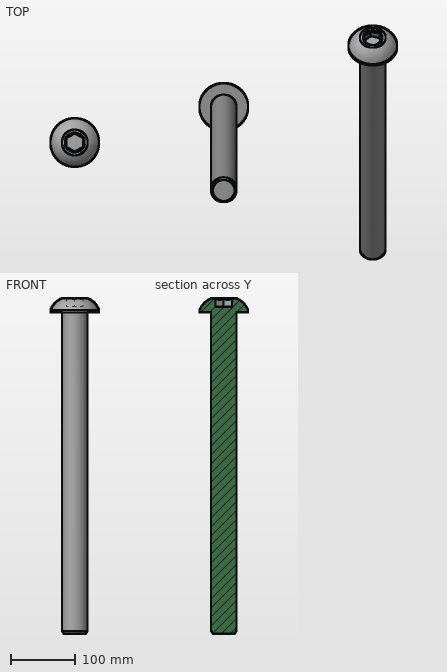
import cadquery as cq
import math

total_length = 522.0
head_diameter = 76.0
shank_diameter = 40.0

head_height = 22.0
rim_height = 3.5
crown_diameter = shank_diameter
dome_bulge = 2.5

socket_across_flats = 25.0
socket_across_corners = socket_across_flats / math.cos(math.radians(30))
socket_depth = 13.0
countersink_diameter = 30.5
countersink_angle = 90.0

tip_diameter = 34.0
tip_height = 4.5

head_top = head_height
shank_end = head_height - total_length


def make_body():
    """Revolve the half outline of the head, shank and tip about Z."""
    head_radius = head_diameter / 2
    shank_radius = shank_diameter / 2
    crown_radius = crown_diameter / 2
    return (
        cq.Workplane("XZ")
        .moveTo(0, shank_end)
        .lineTo(tip_diameter / 2, shank_end)
        .lineTo(shank_radius, shank_end + tip_height)
        .lineTo(shank_radius, 0)
        .lineTo(head_radius, 0)
        .lineTo(head_radius, rim_height)
        .sagittaArc((crown_radius, head_top), -dome_bulge)
        .lineTo(0, head_top)
        .close()
        .revolve(360, (0, 0, 0), (0, 1, 0))
    )


def make_socket():
    """Hexagonal recess with two corners on the Y axis."""
    return (
        cq.Workplane("XY", origin=(0, 0, head_top - socket_depth))
        .transformed(rotate=(0, 0, 90))
        .polygon(6, socket_across_corners)
        .extrude(socket_depth)
    )


def make_countersink():
    """Truncated cone that breaks the socket edges, narrowing to the flats."""
    upper_radius = countersink_diameter / 2
    lower_radius = socket_across_flats / 2
    depth = (upper_radius - lower_radius) / math.tan(math.radians(countersink_angle / 2))
    cone = cq.Solid.makeCone(lower_radius, upper_radius, depth, pnt=(0, 0, head_top - depth))
    return cq.Workplane(cone)


result = make_body().cut(make_socket()).cut(make_countersink())